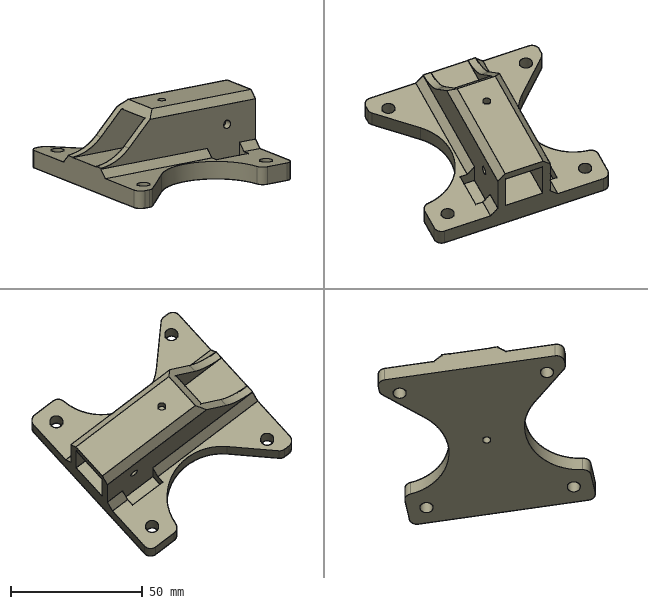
import cadquery as cq
import math

plate_size = 72.0
plate_thickness = 7.0
corner_radius = 3.0
corner_hole_diameter = 5.0
corner_hole_inset = 7.5
side_cutout_radius = 21.0

total_height = 29.0
housing_width = 21.8
wall = 3.25
chamfer = 3.0
tunnel_width = housing_width - 2 * wall
tunnel_floor = 10.2
tunnel_ceiling = total_height - wall

slope_start_y = -10.1
slope_drop = 12.8
runout_radius = 20.0

recess_length = 15.0
recess_back_inset = 7.5
recess_reach = 6.0
recess_depth = 5.0

top_hole_diameter = 3.0
side_hole_diameter = 3.2
side_hole_back_inset = 13.25

half = plate_size / 2
half_housing = housing_width / 2
diagonal = math.sqrt(0.5)


def make_plate():
    """Square plate with round side cutouts that open at 45 degrees toward the front."""
    plate = cq.Workplane("XY").rect(plate_size, plate_size).extrude(plate_thickness)
    tangent_offset = side_cutout_radius * diagonal
    for side in (-1, 1):
        edge_x = side * half
        cutout = (
            cq.Workplane("XY")
            .moveTo(edge_x, side_cutout_radius)
            .threePointArc(
                (edge_x - side * side_cutout_radius, 0),
                (edge_x - side * tangent_offset, -tangent_offset),
            )
            .lineTo(edge_x, -2 * tangent_offset)
            .close()
            .extrude(plate_thickness)
        )
        plate = plate.cut(cutout)
    outer_corners = cq.selectors.BoxSelector(
        (-half - 0.7, -half - 0.7, 0), (-half + 0.7, half + 0.7, plate_thickness)
    ) + cq.selectors.BoxSelector(
        (half - 0.7, -half - 0.7, 0), (half + 0.7, half + 0.7, plate_thickness)
    )
    return plate.edges("|Z").edges(outer_corners).fillet(corner_radius)


def make_housing():
    """Block with chamfered top edges and flared feet, trimmed by the sloped front profile."""
    right_side = [
        (half_housing + chamfer, plate_thickness),
        (half_housing, plate_thickness + chamfer),
        (half_housing, total_height - chamfer),
        (half_housing - chamfer, total_height),
    ]
    left_side = [(-x, z) for x, z in reversed(right_side)]
    foot = [(-half_housing - chamfer, 0), (half_housing + chamfer, 0)]
    block = (
        cq.Workplane("XZ", origin=(0, half, 0))
        .polyline(right_side + left_side + foot)
        .close()
        .extrude(plate_size)
    )

    tangent_y = slope_start_y - slope_drop
    tangent_z = total_height - slope_drop
    center_y = tangent_y - runout_radius * diagonal
    center_z = tangent_z + runout_radius * diagonal

    def runout_point(y):
        return (y, center_z - math.sqrt(runout_radius**2 - (y - center_y) ** 2))

    side_profile = (
        cq.Workplane("YZ", origin=(-half, 0, 0))
        .moveTo(half, 0)
        .lineTo(half, total_height)
        .lineTo(slope_start_y, total_height)
        .lineTo(tangent_y, tangent_z)
        .threePointArc(runout_point((tangent_y - half) / 2), runout_point(-half))
        .lineTo(-half, 0)
        .close()
        .extrude(plate_size)
    )
    return block.intersect(side_profile)


def make_tunnel():
    """Rectangular passage through the full length of the housing."""
    height = tunnel_ceiling - tunnel_floor
    return cq.Workplane("XY", origin=(0, 0, tunnel_floor)).box(
        tunnel_width, plate_size, height, centered=(True, True, False)
    )


def make_recesses():
    """Pockets that remove the flared feet and sink into the plate."""
    return (
        cq.Workplane("XY", origin=(0, 0, plate_thickness - recess_depth))
        .pushPoints([
            (side * (half_housing + recess_reach / 2), half - recess_back_inset - recess_length / 2)
            for side in (-1, 1)
        ])
        .rect(recess_reach, recess_length)
        .extrude(recess_depth + chamfer)
    )


def make_holes():
    """Corner mounting holes, the vertical hole at the centre and the cross hole."""
    hole_spacing = plate_size - 2 * corner_hole_inset
    corner_holes = (
        cq.Workplane("XY")
        .rect(hole_spacing, hole_spacing, forConstruction=True)
        .vertices()
        .circle(corner_hole_diameter / 2)
        .extrude(plate_thickness)
    )
    top_hole = cq.Workplane("XY").circle(top_hole_diameter / 2).extrude(total_height)
    side_hole_z = (tunnel_floor + tunnel_ceiling) / 2
    side_hole = (
        cq.Workplane("YZ", origin=(-half_housing, half - side_hole_back_inset, side_hole_z))
        .circle(side_hole_diameter / 2)
        .extrude(housing_width)
    )
    return corner_holes.union(top_hole).union(side_hole)


result = (
    make_plate()
    .union(make_housing())
    .cut(make_tunnel())
    .cut(make_recesses())
    .cut(make_holes())
)